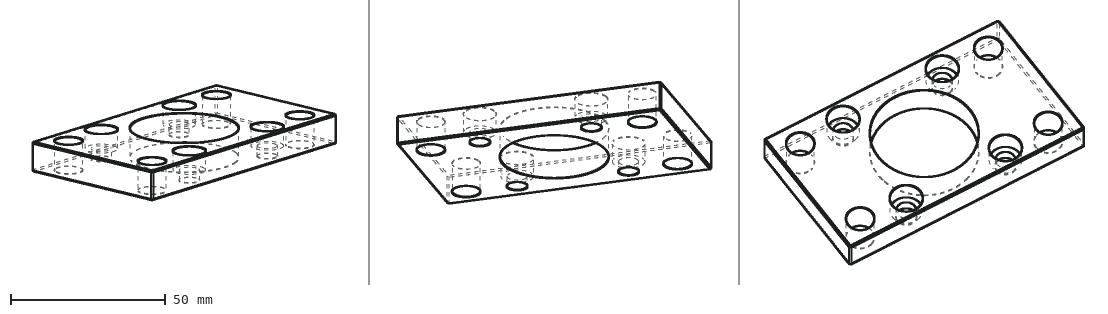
import cadquery as cq

width = 52.0
length = 90.0
thickness = 10.0
edge_chamfer = 0.5
rim_chamfer = 0.2

bore_diameter = 35.0

mount_diameter = 9.0
mount_spacing_x = 36.0
mount_spacing_y = 72.0

screw_diameter = 6.5
counterbore_diameter = 10.5
counterbore_depth = 6.5
screw_spacing = 38.0


def make_plate():
    """Rectangular plate with all its edges chamfered."""
    return cq.Workplane("XY").box(width, length, thickness).edges().chamfer(edge_chamfer)


def on_top(body):
    """Workplane on the top face, centred on the plate."""
    return body.faces(">Z").workplane(origin=(0, 0, 0))


def cut_bore(body):
    """Large through bore at the centre."""
    return on_top(body).hole(bore_diameter)


def cut_mounting_holes(body):
    """Plain through holes near the plate corners."""
    corners = on_top(body).rect(mount_spacing_x, mount_spacing_y, forConstruction=True).vertices()
    return corners.hole(mount_diameter)


def cut_screw_holes(body):
    """Through holes counterbored from the top face."""
    corners = on_top(body).rect(screw_spacing, screw_spacing, forConstruction=True).vertices()
    return corners.cboreHole(screw_diameter, counterbore_diameter, counterbore_depth)


def break_rims(body):
    """Small chamfer on every hole rim in the top and bottom faces."""
    return body.faces("<Z or >Z").edges("%CIRCLE").chamfer(rim_chamfer)


result = make_plate()
result = cut_bore(result)
result = cut_mounting_holes(result)
result = cut_screw_holes(result)
result = break_rims(result)